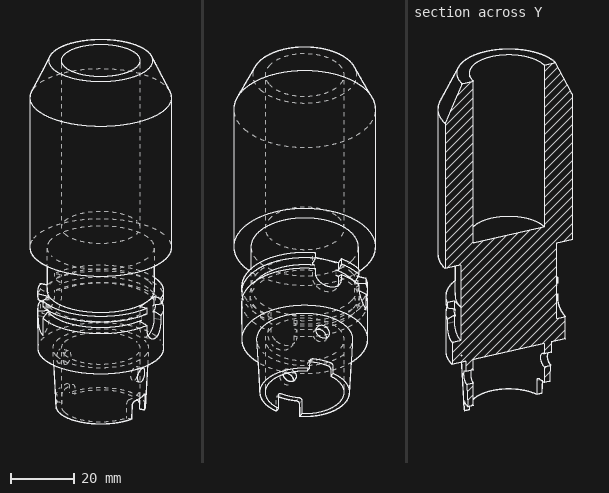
import cadquery as cq
import math


nose_top = 100.0
nose_bottom = 35.0
nose_radius = 45.0 / 2
nose_face_radius = 33.0 / 2
nose_cone_angle = 25.0
nose_cone_height = (nose_radius - nose_face_radius) / math.tan(math.radians(nose_cone_angle))
tool_bore_diameter = 25.0
tool_bore_depth = 58.0

neck_radius = 34.0 / 2
flange_radius = 40.0 / 2
flange_top = 20.0

groove_middle = 16.0
groove_floor_radius = 34.8 / 2
groove_floor_width = 2.1
groove_mouth_width = 4.0

slot_width = 9.0
slot_bottom = 8.0
slot_floor = neck_radius
notch_corner = neck_radius / math.sqrt(2)

shank_length = 20.0
shank_top_radius = 30.5 / 2
shank_taper = 1 / 10
shank_end_radius = shank_top_radius - shank_length * shank_taper / 2
shank_bore_diameter = 25.0
shank_bore_depth = shank_length
cross_hole_diameter = 4.6
cross_hole_z = -6.0
keyway_width = 8.05
keyway_corner_radius = 1.0
shallow_keyway_depth = 3.5
deep_keyway_depth = 6.0


def turned_body():
    """Revolve the outer profile and bore it from both ends."""
    floor_half = groove_floor_width / 2
    mouth_half = groove_mouth_width / 2
    profile = [
        (0, -shank_length),
        (shank_end_radius, -shank_length),
        (shank_top_radius, 0),
        (flange_radius, 0),
        (flange_radius, groove_middle - mouth_half),
        (groove_floor_radius, groove_middle - floor_half),
        (groove_floor_radius, groove_middle + floor_half),
        (flange_radius, groove_middle + mouth_half),
        (flange_radius, flange_top),
        (neck_radius, flange_top),
        (neck_radius, nose_bottom),
        (nose_radius, nose_bottom),
        (nose_radius, nose_top - nose_cone_height),
        (nose_face_radius, nose_top),
        (0, nose_top),
    ]
    body = cq.Workplane("XZ").polyline(profile).close().revolve(360, (0, 0, 0), (0, 1, 0))
    body = body.faces(">Z").workplane().hole(tool_bore_diameter, tool_bore_depth)
    return body.faces("<Z").workplane().hole(shank_bore_diameter, shank_bore_depth)


def round_bottom_cutter(center_y, start_x, length):
    """Round-bottomed cutter open at the flange top, running along +X from start_x."""
    half = slot_width / 2
    return (
        cq.Workplane("YZ", origin=(start_x, center_y, 0))
        .moveTo(-half, flange_top)
        .lineTo(-half, slot_bottom + half)
        .threePointArc((0, slot_bottom), (half, slot_bottom + half))
        .lineTo(half, flange_top)
        .close()
        .extrude(length)
    )


def drive_slots():
    """Two opposite flange slots whose floors are flush with the neck."""
    depth = flange_radius - slot_floor
    return round_bottom_cutter(0, -flange_radius, depth).union(round_bottom_cutter(0, slot_floor, depth))


def orientation_notch():
    """Square-cornered notch at the -X -Y side, with its corner on the neck."""
    center_y = -notch_corner - slot_width / 2
    return round_bottom_cutter(center_y, -flange_radius, flange_radius - notch_corner)


def keyway(side, depth):
    """Keyway at the shank end on the +X (side = 1) or -X (side = -1) half."""
    return (
        cq.Workplane("XY", origin=(side * shank_top_radius / 2, 0, -shank_length))
        .rect(shank_top_radius, keyway_width)
        .extrude(depth)
        .edges(">Z and |X")
        .fillet(keyway_corner_radius)
    )


def cross_hole():
    """Radial hole through both walls of the shank."""
    return (
        cq.Workplane("YZ", origin=(0, 0, cross_hole_z))
        .circle(cross_hole_diameter / 2)
        .extrude(shank_top_radius, both=True)
    )


result = (
    turned_body()
    .cut(drive_slots())
    .cut(orientation_notch())
    .cut(keyway(-1, shallow_keyway_depth))
    .cut(keyway(1, deep_keyway_depth))
    .cut(cross_hole())
)